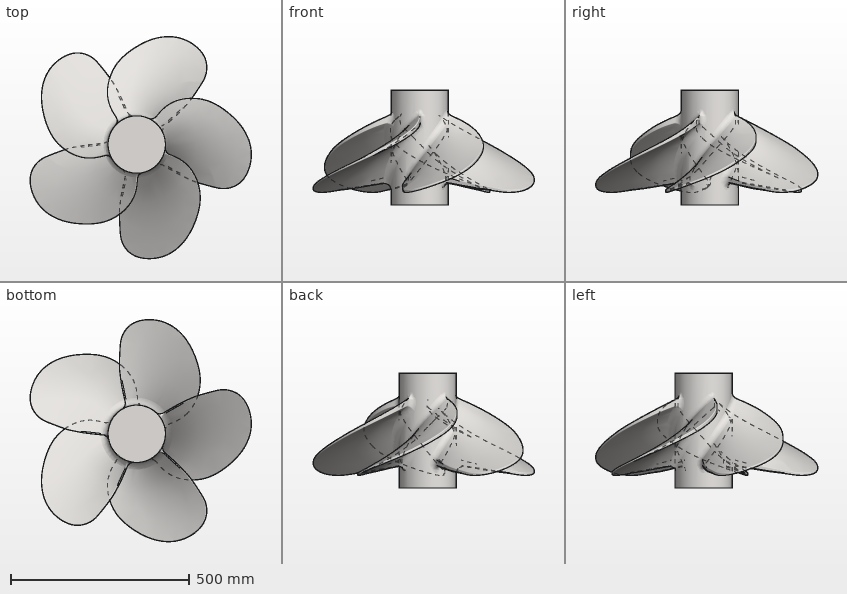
import cadquery as cq
import math

blade_count = 5
hub_radius = 80.5
hub_height = 322.0
hub_seam_angle = 40.0

root_height = 171.0
rake = 0.31
pitch = 685.5
camber = 9.5
camber_mid_angle = 5.0
camber_half_span = 40.0
root_thickness = 15.0
tip_thickness = 5.0
edge_radius = 2.2
root_fillet = 19.0

blade_outline = [
    (62.5, 57.0), (93.0, 55.3), (129.5, 53.0), (156.5, 49.4), (197.0, 41.2), (232.0, 32.3),
    (265.5, 21.2), (308.0, 5.7), (319.0, -0.8), (323.0, -5.2), (321.5, -12.7), (308.0, -20.6),
    (273.0, -27.0), (237.0, -29.6), (198.0, -32.3), (149.5, -35.0), (93.5, -38.0), (62.5, -39.0),
]

sheet_inner_radius = 31.0
sheet_outer_radius = 336.5
sheet_start_angle = -70.0
sheet_end_angle = 85.0
radial_points = 12
angular_points = 14
surface_tolerance = 0.01
wall_tolerance = 0.05


def polar(radius, degrees, z=0.0):
    angle = math.radians(degrees)
    return cq.Vector(radius * math.cos(angle), radius * math.sin(angle), z)


def blade_point(radius, degrees, side):
    """Point on the upper (side = 1) or lower (side = -1) face of the blade."""
    middle = root_height - rake * radius + pitch * degrees / 360
    chord_place = (degrees - camber_mid_angle) / camber_half_span
    middle += camber * (1 - chord_place**2)
    span = (radius - hub_radius) / (sheet_outer_radius - hub_radius)
    thickness = root_thickness + (tip_thickness - root_thickness) * span
    helix_slope = pitch / (2 * math.pi * radius)
    steepness = math.sqrt(1 + rake**2 + helix_slope**2)
    return polar(radius, degrees, middle + side * thickness * steepness / 2)


def steps(start, end, count):
    return [start + (end - start) * i / (count - 1) for i in range(count)]


def blade_face(side):
    radii = steps(sheet_inner_radius, sheet_outer_radius, radial_points)
    angles = steps(sheet_start_angle, sheet_end_angle, angular_points)
    grid = [[blade_point(radius, angle, side) for angle in angles] for radius in radii]
    return cq.Face.makeSplineApprox(grid, tol=surface_tolerance, minDeg=3, maxDeg=6)


def make_blade():
    """Space between the two blade faces, trimmed to the plan outline."""
    points = [polar(radius, angle).toTuple()[:2] for radius, angle in blade_outline]
    outline = cq.Workplane("XY").moveTo(*points[0]).spline(points[1:], includeCurrent=True)
    column = outline.close().extrude(2 * hub_height).translate((0, 0, -hub_height / 2)).val()
    pieces = column.split(blade_face(1), blade_face(-1)).Solids()
    return min(pieces, key=lambda piece: piece.Volume())


def on_hub_wall(edge):
    """True for the edges where a blade meets the hub, not for the hub's end circles."""
    touches_wall = all(
        abs(math.hypot(point.x, point.y) - hub_radius) < wall_tolerance
        for point in edge.positions([0, 0.25, 0.5, 0.75, 1])
    )
    return touches_wall and 0 < edge.BoundingBox().zmin and edge.BoundingBox().zmax < hub_height


axis_start = cq.Vector(0, 0, 0)
axis_end = cq.Vector(0, 0, 1)
hub = cq.Solid.makeCylinder(hub_radius, hub_height).rotate(axis_start, axis_end, hub_seam_angle)
blade = make_blade()
blades = [blade.rotate(axis_start, axis_end, i * 360 / blade_count) for i in range(blade_count)]
propeller = hub.fuse(*blades).Solids()[0]

rims = [edge for edge in propeller.Edges() if edge.Length() > 2 * math.pi * hub_radius]
propeller = propeller.fillet(edge_radius, rims)

roots = [edge for edge in propeller.Edges() if on_hub_wall(edge)]
propeller = propeller.fillet(root_fillet, roots)

result = cq.Workplane(propeller)